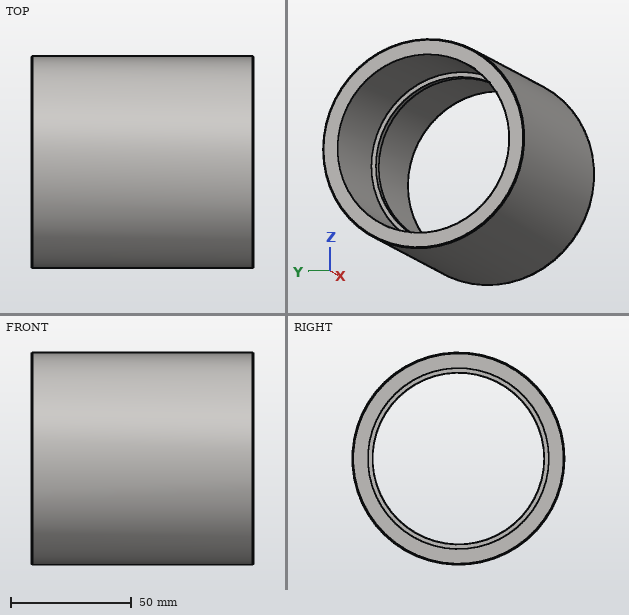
import cadquery as cq

length = 92.0
outer_diameter = 88.0
socket_diameter = 75.0
stop_diameter = 71.0
stop_width = 3.7
edge_chamfer = 0.5

socket_depth = (length - stop_width) / 2


def cylinder_along_x(diameter, start, extent):
    """Solid cylinder on the X axis, from x = start to x = start + extent."""
    return cq.Workplane("YZ").workplane(offset=start).circle(diameter / 2).extrude(extent)


sleeve = cylinder_along_x(outer_diameter, -length / 2, length)
sleeve = sleeve.edges().chamfer(edge_chamfer)

result = sleeve.cut(cylinder_along_x(stop_diameter, -length / 2, length))

for socket_start in (-length / 2, stop_width / 2):
    result = result.cut(cylinder_along_x(socket_diameter, socket_start, socket_depth))